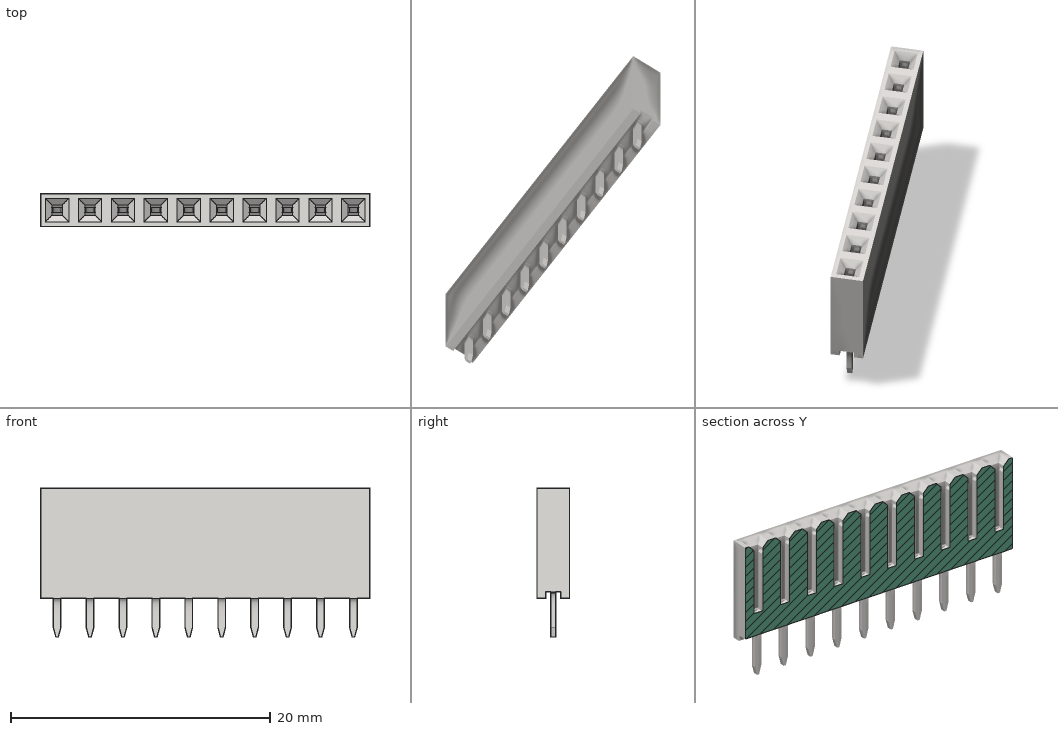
import cadquery as cq
import math

PITCH = 2.54
SOCKET_COUNT = 10
HOUSING_LENGTH = SOCKET_COUNT * PITCH
HOUSING_WIDTH = PITCH
HOUSING_HEIGHT = 8.5

CHANNEL_WIDTH = 1.14
CHANNEL_DEPTH = 0.5

MOUTH_SIZE = 1.8
BORE_SIZE = 0.8
MOUTH_DEPTH = (MOUTH_SIZE - BORE_SIZE) / 2
BORE_TOP_Z = HOUSING_HEIGHT - MOUTH_DEPTH
BORE_FLOOR_Z = 2.5

CONTACT_THICKNESS = 0.4
CONTACT_WIDTH = 1.0
CONTACT_RECESS = 0.25
CONTACT_TOP_Z = BORE_TOP_Z - CONTACT_RECESS
SHOULDER_DROP = 0.08
SHOULDER_Z = CHANNEL_DEPTH - SHOULDER_DROP

FORK_GAP_WIDTH = 0.64
LEAD_IN_ANGLE = 56
FORK_FLOOR_RADIUS = 0.42

PIN_WIDTH = 0.6
PIN_LENGTH = 3.0
PIN_TIP_WIDTH = 0.2
PIN_TAPER_LENGTH = 0.75


def make_housing():
    housing = cq.Workplane("XY").box(
        HOUSING_LENGTH, HOUSING_WIDTH, HOUSING_HEIGHT, centered=(True, True, False)
    )
    channel = cq.Workplane("XY").box(
        HOUSING_LENGTH, CHANNEL_WIDTH, CHANNEL_DEPTH, centered=(True, True, False)
    )
    return housing.cut(channel)


def make_socket():
    """Cavity of one socket: tapered mouth and square bore."""
    mouth = (
        cq.Workplane("XY", origin=(0, 0, HOUSING_HEIGHT))
        .rect(MOUTH_SIZE, MOUTH_SIZE)
        .workplane(offset=-MOUTH_DEPTH)
        .rect(BORE_SIZE, BORE_SIZE)
        .loft(ruled=True)
    )
    bore_depth = BORE_TOP_Z - BORE_FLOOR_Z
    bore = cq.Workplane("XY", origin=(0, 0, BORE_FLOOR_Z)).box(
        BORE_SIZE, BORE_SIZE, bore_depth, centered=(True, True, False)
    )
    return mouth.union(bore)


def make_contact():
    """Contact before the fork gap is cut: wide blade, shoulders and tapered solder pin."""
    half_blade = CONTACT_WIDTH / 2
    half_pin = PIN_WIDTH / 2
    half_tip = PIN_TIP_WIDTH / 2
    taper_top_z = PIN_TAPER_LENGTH - PIN_LENGTH
    outline = [
        (-half_blade, CONTACT_TOP_Z),
        (-half_blade, SHOULDER_Z),
        (-half_pin, SHOULDER_Z),
        (-half_pin, taper_top_z),
        (-half_tip, -PIN_LENGTH),
        (half_tip, -PIN_LENGTH),
        (half_pin, taper_top_z),
        (half_pin, SHOULDER_Z),
        (half_blade, SHOULDER_Z),
        (half_blade, CONTACT_TOP_Z),
    ]
    return (
        cq.Workplane("XZ")
        .polyline(outline)
        .close()
        .extrude(CONTACT_THICKNESS / 2, both=True)
    )


def make_fork_gap():
    """Space between the two fork arms of one contact."""
    half_blade = CONTACT_WIDTH / 2
    half_gap = FORK_GAP_WIDTH / 2
    lead_in_height = (half_blade - half_gap) * math.tan(math.radians(LEAD_IN_ANGLE))
    lead_in_bottom_z = CONTACT_TOP_Z - lead_in_height
    floor_sag = FORK_FLOOR_RADIUS - math.sqrt(FORK_FLOOR_RADIUS**2 - half_gap**2)
    return (
        cq.Workplane("XZ")
        .moveTo(-half_blade, CONTACT_TOP_Z)
        .lineTo(-half_gap, lead_in_bottom_z)
        .lineTo(-half_gap, BORE_FLOOR_Z)
        .threePointArc((0, BORE_FLOOR_Z - floor_sag), (half_gap, BORE_FLOOR_Z))
        .lineTo(half_gap, lead_in_bottom_z)
        .lineTo(half_blade, CONTACT_TOP_Z)
        .close()
        .extrude(CONTACT_THICKNESS / 2, both=True)
    )


result = make_housing()
socket = make_socket()
contact = make_contact()
fork_gap = make_fork_gap()
first_x = -(SOCKET_COUNT - 1) * PITCH / 2
for index in range(SOCKET_COUNT):
    position = (first_x + index * PITCH, 0, 0)
    result = result.cut(socket.translate(position))
    result = result.union(contact.translate(position))
    result = result.cut(fork_gap.translate(position))